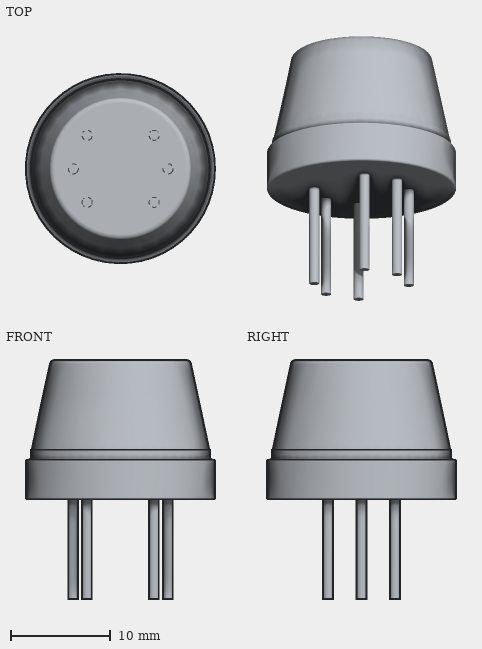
import cadquery as cq
import math

total_height = 24.0
pin_length = 10.0
body_height = total_height - pin_length

base_radius = 9.5
base_height = 4.0
base_edge_fillet = 0.2

collar_radius = 9.0
collar_top = 5.0
collar_foot_fillet = 0.2

cap_top_radius = 7.0
cap_half_angle = 12.0
cap_edge_fillet = 0.5
cap_height = body_height - collar_top
cap_foot_radius = cap_top_radius + cap_height * math.tan(math.radians(cap_half_angle))

pin_radius = 0.5
pin_circle_radius = 4.75
pin_angles = [-45, 0, 45, 135, 180, 225]


def make_base():
    """Disc with rounded upper and lower rims."""
    disc = cq.Workplane("XY").circle(base_radius).extrude(base_height)
    return disc.edges("%CIRCLE").fillet(base_edge_fillet)


def make_collar():
    """Short cylinder on the base, with a concave fillet where it meets the base."""
    foot_radius = collar_radius + collar_foot_fillet
    foot_top = base_height + collar_foot_fillet
    corner_reach = collar_foot_fillet * (1 - math.sqrt(0.5))
    return (
        cq.Workplane("XZ")
        .moveTo(0, base_height)
        .lineTo(foot_radius, base_height)
        .threePointArc(
            (collar_radius + corner_reach, base_height + corner_reach),
            (collar_radius, foot_top),
        )
        .lineTo(collar_radius, collar_top)
        .lineTo(0, collar_top)
        .close()
        .revolve(360, (0, 0), (0, 1))
    )


def make_cap():
    """Cone frustum standing on the collar, with a rounded top edge."""
    frustum = (
        cq.Workplane("XY", origin=(0, 0, collar_top))
        .circle(cap_foot_radius)
        .extrude(cap_height, taper=cap_half_angle)
    )
    return frustum.faces(">Z").edges().fillet(cap_edge_fillet)


def make_pins():
    """Straight round pins hanging from the underside of the base."""
    centres = []
    for angle in pin_angles:
        x = pin_circle_radius * math.cos(math.radians(angle))
        y = pin_circle_radius * math.sin(math.radians(angle))
        centres.append((x, y))
    return cq.Workplane("XY").pushPoints(centres).circle(pin_radius).extrude(-pin_length)


result = make_base().union(make_collar()).union(make_cap()).union(make_pins())